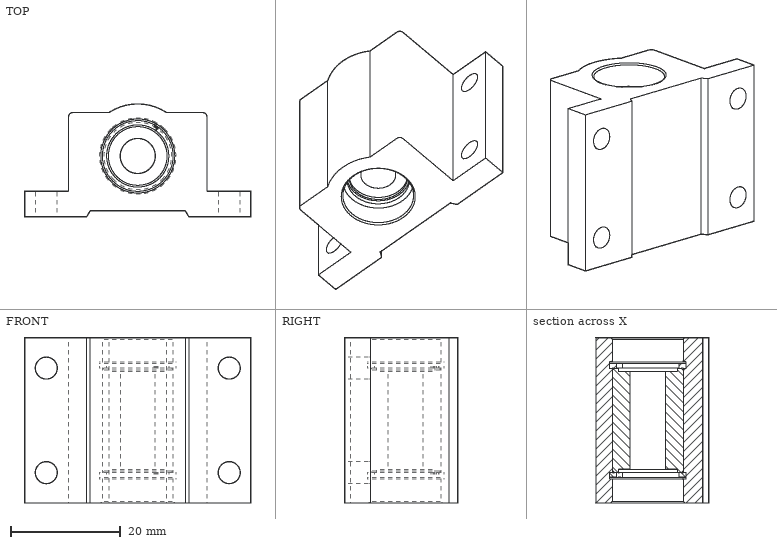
import cadquery as cq
import math

length = 30.16
base_width = 41.27
block_width = 25.25
axis_height = 11.11
flange_thickness = 4.7
shoulder_height = 19.05
crown_radius = 9.51
shoulder_fillet = 0.79

relief_width = 18.6
relief_depth = 1.1
relief_side_angle = 60

mount_hole_diameter = 3.97
mount_spacing_x = 33.34
mount_spacing_z = 19.05

bore_diameter = 12.9
bore_chamfer = 0.3

bearing_length = 19.05
bearing_bore_diameter = 6.35
bearing_recess_diameter = 10.7
bearing_recess_depth = 0.58
bearing_edge_chamfer = 0.3

groove_width = 1.13
groove_diameter = 13.9
ring_thickness = 0.86
ring_inner_diameter = 11.34
ring_gap_width = 0.12
ring_gap_inner_angle = 54.6
ring_gap_outer_angle = 60.0
ring_gap_step_diameter = 12.3

base_y = -axis_height
flange_y = base_y + flange_thickness
shoulder_y = base_y + shoulder_height
bearing_half_length = bearing_length / 2
bore_radius = bore_diameter / 2


def cylinder(diameter, bottom, height):
    """A cylinder on the shaft axis."""
    return cq.Workplane("XY").workplane(offset=bottom).circle(diameter / 2).extrude(height)


def make_profile():
    """Outline of the flanged block with its round crown and the relief channel."""
    half_base = base_width / 2
    half_block = block_width / 2
    half_crown = math.sqrt(crown_radius**2 - shoulder_y**2)
    half_relief = relief_width / 2
    half_relief_floor = half_relief - relief_depth / math.tan(math.radians(relief_side_angle))
    relief_y = base_y + relief_depth
    return (
        cq.Workplane("XY")
        .workplane(offset=-length / 2)
        .moveTo(-half_base, base_y)
        .lineTo(-half_relief, base_y)
        .lineTo(-half_relief_floor, relief_y)
        .lineTo(half_relief_floor, relief_y)
        .lineTo(half_relief, base_y)
        .lineTo(half_base, base_y)
        .lineTo(half_base, flange_y)
        .lineTo(half_block, flange_y)
        .lineTo(half_block, shoulder_y)
        .lineTo(half_crown, shoulder_y)
        .threePointArc((0, crown_radius), (-half_crown, shoulder_y))
        .lineTo(-half_block, shoulder_y)
        .lineTo(-half_block, flange_y)
        .lineTo(-half_base, flange_y)
        .close()
    )


def make_housing():
    body = make_profile().extrude(length)

    for side in (-1, 1):
        corner = cq.selectors.NearestToPointSelector((side * block_width / 2, shoulder_y, 0))
        body = body.edges("|Z").edges(corner).fillet(shoulder_fillet)

    body = body.cut(cylinder(bore_diameter, -length / 2, length))
    for end in (-1, 1):
        mouth = (
            cq.Workplane("XZ")
            .moveTo(0, end * length / 2)
            .lineTo(bore_radius + bore_chamfer, end * length / 2)
            .lineTo(bore_radius, end * (length / 2 - bore_chamfer))
            .lineTo(0, end * (length / 2 - bore_chamfer))
            .close()
            .revolve(360, (0, 0, 0), (0, 1, 0))
        )
        body = body.cut(mouth)

    for bottom in (bearing_half_length, -bearing_half_length - groove_width):
        body = body.cut(cylinder(groove_diameter, bottom, groove_width))

    holes = (
        cq.Workplane("XZ", origin=(0, base_y, 0))
        .rarray(mount_spacing_x, mount_spacing_z, 2, 2)
        .circle(mount_hole_diameter / 2)
        .extrude(-flange_thickness)
    )
    return body.cut(holes)


def make_bearing():
    """Sleeve with chamfered outer edges and a shallow round recess in each end."""
    sleeve = cylinder(bore_diameter, -bearing_half_length, bearing_length)
    sleeve = sleeve.faces("|Z").edges().chamfer(bearing_edge_chamfer)
    for bottom in (-bearing_half_length, bearing_half_length - bearing_recess_depth):
        sleeve = sleeve.cut(cylinder(bearing_recess_diameter, bottom, bearing_recess_depth))
    return sleeve.cut(cylinder(bearing_bore_diameter, -bearing_half_length, bearing_length))


def ring_slit(bottom, angle, inner_radius, outer_radius):
    """A straight radial slit through a ring, at an angle measured from +X."""
    return (
        cq.Workplane("XY", origin=(0, 0, bottom))
        .transformed(rotate=(0, 0, angle))
        .center((inner_radius + outer_radius) / 2, 0)
        .rect(outer_radius - inner_radius, ring_gap_width)
        .extrude(ring_thickness)
    )


def ring_gap(bottom):
    """Stepped gap: an inner and an outer radial slit joined by a slit along an arc."""
    step_inner_radius = (ring_gap_step_diameter - ring_gap_width) / 2
    step_outer_radius = step_inner_radius + ring_gap_width
    inner_slit = ring_slit(bottom, ring_gap_inner_angle, 0, step_outer_radius)
    outer_slit = ring_slit(bottom, ring_gap_outer_angle, step_inner_radius, groove_diameter)
    step_slit = (
        cq.Workplane("XZ")
        .moveTo(step_inner_radius, bottom)
        .lineTo(step_outer_radius, bottom)
        .lineTo(step_outer_radius, bottom + ring_thickness)
        .lineTo(step_inner_radius, bottom + ring_thickness)
        .close()
        .revolve(ring_gap_outer_angle - ring_gap_inner_angle, (0, 0, 0), (0, -1, 0))
        .rotate((0, 0, 0), (0, 0, 1), ring_gap_outer_angle)
    )
    return inner_slit.union(outer_slit).union(step_slit)


def make_ring(bottom):
    """Flat ring filling the groove, split by the stepped gap."""
    ring = cylinder(groove_diameter, bottom, ring_thickness)
    ring = ring.cut(cylinder(ring_inner_diameter, bottom, ring_thickness))
    return ring.cut(ring_gap(bottom))


housing = make_housing()
bearing = make_bearing()
rings = [make_ring(bottom) for bottom in (bearing_half_length, -bearing_half_length - ring_thickness)]

result = cq.Compound.makeCompound([housing.val(), bearing.val(), *[ring.val() for ring in rings]])